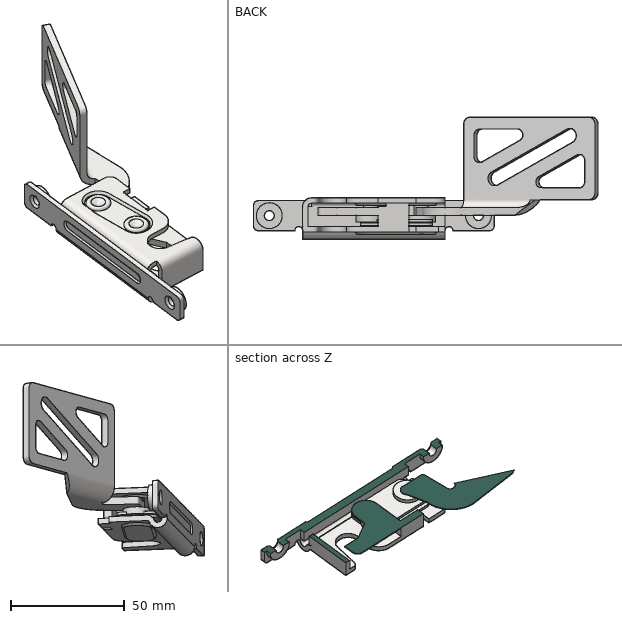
import cadquery as cq
import math

SHEET = 2.5

STRIP_LEFT, STRIP_RIGHT = 45.7, 151.8
STRIP_BOTTOM, STRIP_TOP = 3.8, 17.2
STRIP_CORNER = 2.1
STRIP_MID_X = (STRIP_LEFT + STRIP_RIGHT) / 2
STRIP_MID_Z = (STRIP_BOTTOM + STRIP_TOP) / 2
SCREW_SPACING = 92.1
SCREW_DIA, SCREW_SINK_DIA = 4.2, 6.4
SCREW_BOSS_DIA, SCREW_BOSS_HEIGHT = 11.4, 2.5
BEAD_LENGTH, BEAD_WIDTH, BEAD_DEPTH = 52.2, 5.3, 0.8
RELIEF_DIA, RELIEF_TOP = 3.3, 5.6

HOUSING_WIDTH = 62.8
HOUSING_LEFT = STRIP_MID_X - HOUSING_WIDTH / 2
HOUSING_RIGHT = STRIP_MID_X + HOUSING_WIDTH / 2
HOUSING_BACK = 31.7
BASE_BOTTOM = 3.3
BASE_TOP = BASE_BOTTOM + SHEET
COVER_TOP = 18.4
COVER_UNDER = COVER_TOP - SHEET
HOOK_RADIUS = 4.2
HOOK_SWEEP = 70
COVER_BEND = 4.0
WEB_BOTTOM = BASE_TOP
COVER_FLANGE_FRONT = 8.0
HOUSING_LEFT_CORNER, HOUSING_MID_CORNER = 3.8, 6.8

OPENING_LEFT = 110.8
OPENING_RADIUS = 5.6
OPENING_Y = 18.5
FINGER_TIP_X, FINGER_TIP_Y, FINGER_CORNER = 123.4, 30.0, 1.8

NOTCH_LEFT, NOTCH_RIGHT, NOTCH_FRONT = 80.1, 96.8, 28.0
TAB_LEFT, TAB_STEP_X, TAB_STEP_DROP = 83.3, 93.3, 1.5
BASE_STEP_DEPTH, BASE_STEP_Y, BASE_STEP_ROUND = 3.0, 26.3, 0.8

RIVETS = [(77.9, 15.5), (100.2, 18.5)]
RIVET_DIA, RIVET_HEAD_DIA, RIVET_CONE_DIA = 6.4, 11.1, 6.4
RIVET_CONE_TOP, RIVET_CONE_DEPTH = 17.9, 1.5
DIMPLE_RADIUS, DIMPLE_DEPTH, DIMPLE_FRONT = 7.1, 1.0, 9.3
DIMPLE_SLOPE = 45
SPACER_DIA = 12.7

LEAF_LEFT, LEAF_RIGHT, LEAF_FRONT = 72.9, 104.7, 6.2
LEAF_BACKS = [25.8, 24.3]
LEAF_SHEET, LEAF_GAP, LEAF_CORNER = 1.2, 0.3, 3.0

PANEL_ANGLE = 25
PANEL_LENGTH = 63.7
PANEL_SHEET = 3.3
PANEL_BOTTOM, PANEL_TOP = 17.5, 53.9
PANEL_CORNER = 3.0
PANEL_FRONT_Y = 48.7
LEVER_BOTTOM = 10.6
LEVER_TOP = LEVER_BOTTOM + PANEL_SHEET
LEVER_BEND = PANEL_BOTTOM - LEVER_BOTTOM
LEVER_SHOULDER = (62.7, 41.7)
LEVER_SHOULDER_RADIUS = 14.4
LEVER_REAR_SLOPE = 0.1
LEVER_BEND_START = 28.1
LEVER_FRONT_Y, LEVER_FRONT_X, LEVER_FRONT_CORNER = 12.5, 65.9, 1.0
LEVER_NOTCH_X, LEVER_NOTCH_Y, LEVER_NOTCH_RADIUS = 62.5, 26.4, 1.8

SLOT_START, SLOT_END, SLOT_WIDTH = (12.3, 45.7), (48.7, 26.9), 6.4
WINDOW_MARGIN_SIDE, WINDOW_MARGIN_END = 5.3, 5.0
WINDOW_LENGTH, WINDOW_CORNER = 31.7, 2.6

PAWL_RIGHT, PAWL_FRONT, PAWL_CORNER = 123.2, 23.4, 3.0
PAWL_NOSE_X = 115.0
PAWL_FOOT = 6.2


def box(x0, x1, y0, y1, z0, z1):
    return cq.Workplane("XY").box(x1 - x0, y1 - y0, z1 - z0, centered=False).translate((x0, y0, z0))


def polar(center, radius, degrees):
    angle = math.radians(degrees)
    return (center[0] + radius * math.cos(angle), center[1] + radius * math.sin(angle))


def flat_plate(outline, bottom, top):
    """Close an outline drawn on XY and raise it between two heights."""
    return outline.close().extrude(top - bottom).translate((0, 0, bottom))


def on_front(x, z):
    """XZ workplane on the strip's front face; positive extrusion runs to -Y."""
    return cq.Workplane("XZ").center(x, z)


def mounting_strip():
    strip = box(STRIP_LEFT, STRIP_RIGHT, 0, SHEET, STRIP_BOTTOM, STRIP_TOP)
    strip = strip.edges("|Y").fillet(STRIP_CORNER)

    for side in (-1, 1):
        screw_x = STRIP_MID_X + side * SCREW_SPACING / 2
        boss_back = SHEET + SCREW_BOSS_HEIGHT
        strip = strip.union(on_front(screw_x, STRIP_MID_Z).circle(SCREW_BOSS_DIA / 2).extrude(-boss_back))
        strip = strip.cut(on_front(screw_x, STRIP_MID_Z).circle(SCREW_DIA / 2).extrude(-boss_back))
        sink_depth = (SCREW_SINK_DIA - SCREW_DIA) / 2
        sink = on_front(screw_x, STRIP_MID_Z).circle(SCREW_SINK_DIA / 2).extrude(-sink_depth, taper=45)
        strip = strip.cut(sink)

        relief_x = STRIP_MID_X + side * (HOUSING_WIDTH + RELIEF_DIA) / 2
        relief = on_front(relief_x, RELIEF_TOP - RELIEF_DIA / 2)
        relief = relief.slot2D(2 * RELIEF_DIA, RELIEF_DIA, 90).extrude(-SHEET)
        strip = strip.cut(relief.translate((0, 0, -RELIEF_DIA / 2)))

    bead = on_front(STRIP_MID_X, STRIP_MID_Z).slot2D(BEAD_LENGTH, BEAD_WIDTH)
    return strip.cut(bead.extrude(-BEAD_DEPTH, taper=45))


def housing_outline(front, right):
    """Plan of base and cover: a block, the open notch, and the finger at the right."""
    notch_center = (OPENING_LEFT + OPENING_RADIUS, OPENING_Y)
    block_corner = (OPENING_LEFT - HOUSING_MID_CORNER, HOUSING_BACK - HOUSING_MID_CORNER)
    left_corner = (HOUSING_LEFT + HOUSING_LEFT_CORNER, HOUSING_BACK - HOUSING_LEFT_CORNER)
    tip_corner = (FINGER_TIP_X + FINGER_CORNER, HOUSING_BACK - FINGER_CORNER)
    return (
        cq.Workplane("XY")
        .moveTo(HOUSING_LEFT, front)
        .lineTo(HOUSING_LEFT, left_corner[1])
        .threePointArc(polar(left_corner, HOUSING_LEFT_CORNER, 135), (left_corner[0], HOUSING_BACK))
        .lineTo(NOTCH_LEFT, HOUSING_BACK)
        .lineTo(NOTCH_LEFT, NOTCH_FRONT)
        .lineTo(NOTCH_RIGHT, NOTCH_FRONT)
        .lineTo(NOTCH_RIGHT, HOUSING_BACK)
        .lineTo(block_corner[0], HOUSING_BACK)
        .threePointArc(polar(block_corner, HOUSING_MID_CORNER, 45), (OPENING_LEFT, block_corner[1]))
        .lineTo(OPENING_LEFT, OPENING_Y)
        .threePointArc(polar(notch_center, OPENING_RADIUS, 270), polar(notch_center, OPENING_RADIUS, 0))
        .lineTo(FINGER_TIP_X, FINGER_TIP_Y)
        .threePointArc(polar(tip_corner, FINGER_CORNER, 135), (tip_corner[0], HOUSING_BACK))
        .lineTo(right, HOUSING_BACK)
        .lineTo(right, front)
    )


def dimple():
    """Tapered pad around both rivets, widest on Z = 0 and narrowing upward."""
    (x0, y0), (x1, y1) = RIVETS
    spacing = math.hypot(x1 - x0, y1 - y0)
    tilt = math.degrees(math.atan2(y1 - y0, x1 - x0))
    width = 2 * DIMPLE_RADIUS
    pad = cq.Workplane("XY").center((x0 + x1) / 2, (y0 + y1) / 2).slot2D(spacing + width, width, tilt)
    pad = pad.extrude(DIMPLE_DEPTH, taper=DIMPLE_SLOPE)
    return pad.intersect(box(HOUSING_LEFT, HOUSING_RIGHT, DIMPLE_FRONT, HOUSING_BACK, 0, DIMPLE_DEPTH))


def flipped(pad):
    return pad.mirror("XY")


def base():
    """Base sheet and the hook that rolls under the strip."""
    mid_radius = HOOK_RADIUS - SHEET / 2
    center = (HOOK_RADIUS, HOOK_RADIUS)
    hook_end = polar(center, mid_radius, HOOK_SWEEP - 90)
    rise = BASE_BOTTOM + SHEET / 2 - hook_end[1]
    sweep = math.radians(HOOK_SWEEP)
    return_radius = rise / (1 - math.cos(sweep))
    plate_front = hook_end[0] + return_radius * math.sin(sweep)
    return_center = (plate_front, BASE_BOTTOM + SHEET / 2 - return_radius)
    inner, outer = HOOK_RADIUS - SHEET, HOOK_RADIUS
    under, over = return_radius - SHEET / 2, return_radius + SHEET / 2
    turn, mid_turn = HOOK_SWEEP - 90, HOOK_SWEEP / 2 - 90
    hook = (
        cq.Workplane("YZ")
        .moveTo(0, HOOK_RADIUS)
        .threePointArc(polar(center, outer, 225), polar(center, outer, 270))
        .threePointArc(polar(center, outer, mid_turn), polar(center, outer, turn))
        .threePointArc(polar(return_center, under, 90 + HOOK_SWEEP / 2), polar(return_center, under, 90))
        .lineTo(plate_front, BASE_TOP)
        .threePointArc(polar(return_center, over, 90 + HOOK_SWEEP / 2), polar(center, inner, turn))
        .threePointArc(polar(center, inner, mid_turn), polar(center, inner, 270))
        .threePointArc(polar(center, inner, 225), polar(center, inner, 180))
        .close()
        .extrude(HOUSING_WIDTH)
        .translate((HOUSING_LEFT, 0, 0))
    )
    plate = flat_plate(housing_outline(plate_front, HOUSING_RIGHT), BASE_BOTTOM, BASE_TOP)
    step_x = HOUSING_LEFT + BASE_STEP_DEPTH
    step = box(HOUSING_LEFT, step_x, BASE_STEP_Y, HOUSING_BACK, BASE_BOTTOM, BASE_TOP)
    plate = plate.cut(step.edges("|Z and >X and <Y").fillet(BASE_STEP_ROUND))
    tab = box(TAB_LEFT, TAB_STEP_X, NOTCH_FRONT, HOUSING_BACK, BASE_BOTTOM, COVER_UNDER)
    tab = tab.union(
        box(TAB_STEP_X, NOTCH_RIGHT, NOTCH_FRONT, HOUSING_BACK, BASE_BOTTOM, COVER_UNDER - TAB_STEP_DROP)
    )
    bulge = flipped(dimple()).translate((0, 0, BASE_BOTTOM))
    return hook.union(plate).union(tab).union(bulge)


def bent_edge(plane):
    """Quarter bend and downward leg; the leg's outer face is on the local origin."""
    center = (COVER_BEND, COVER_TOP - COVER_BEND)
    inner = COVER_BEND - SHEET
    return (
        cq.Workplane(plane)
        .moveTo(0, WEB_BOTTOM)
        .lineTo(0, center[1])
        .threePointArc(polar(center, COVER_BEND, 135), (COVER_BEND, COVER_TOP))
        .lineTo(COVER_BEND, COVER_UNDER)
        .threePointArc(polar(center, inner, 135), (SHEET, center[1]))
        .lineTo(SHEET, WEB_BOTTOM)
        .close()
    )


def cover():
    """Cover sheet with a front web behind the strip and a flange at the right end."""
    plate_front = SHEET + COVER_BEND
    plate_right = HOUSING_RIGHT - COVER_BEND
    plate = flat_plate(housing_outline(plate_front, plate_right), COVER_UNDER, COVER_TOP)
    front_bend = bent_edge("YZ").extrude(plate_right - HOUSING_LEFT).translate((HOUSING_LEFT, SHEET, 0))
    web = box(plate_right, HOUSING_RIGHT, SHEET, 2 * SHEET, WEB_BOTTOM, COVER_TOP - COVER_BEND)
    flange_length = HOUSING_BACK - COVER_FLANGE_FRONT
    flange = bent_edge("XZ").extrude(flange_length).mirror("YZ")
    flange = flange.translate((HOUSING_RIGHT, HOUSING_BACK, 0))
    backing = flipped(dimple()).translate((0, 0, COVER_UNDER))
    sheet = plate.union(front_bend).union(web).union(flange).union(backing)
    return sheet.cut(flipped(dimple()).translate((0, 0, COVER_TOP)))


def rivet(x, y):
    """Pin through the housing with a spacer under the lever and a round-rimmed head."""
    floor = COVER_TOP - DIMPLE_DEPTH
    rim, cone = RIVET_HEAD_DIA / 2, RIVET_CONE_DIA / 2
    pin = cq.Workplane("XY").circle(RIVET_DIA / 2).extrude(floor - BASE_TOP).translate((0, 0, BASE_TOP))
    spacer = cq.Workplane("XY").circle(SPACER_DIA / 2).extrude(LEVER_BOTTOM - leaf_bottom(1))
    head = (
        cq.Workplane("XZ")
        .moveTo(0, COVER_UNDER)
        .lineTo(rim, COVER_UNDER)
        .lineTo(rim, floor)
        .threePointArc(((rim + cone) / 2, COVER_TOP), (cone, RIVET_CONE_TOP))
        .lineTo(0, RIVET_CONE_TOP)
        .close()
        .revolve(360, (0, 0), (0, 1))
    )
    return pin.union(spacer.translate((0, 0, leaf_bottom(1)))).union(head).translate((x, y, 0))


def rivet_cone(x, y):
    """Conical hollow in a rivet head, pointing down."""
    tip = cq.Vector(x, y, RIVET_CONE_TOP - RIVET_CONE_DEPTH)
    return cq.Workplane(cq.Solid.makeCone(0, RIVET_CONE_DIA / 2, RIVET_CONE_DEPTH, tip))


def leaf_bottom(layer):
    return BASE_TOP + LEAF_GAP + layer * (LEAF_SHEET + LEAF_GAP)


def leaf(layer):
    bottom = leaf_bottom(layer)
    plate = box(LEAF_LEFT, LEAF_RIGHT, LEAF_FRONT, LEAF_BACKS[layer], bottom, bottom + LEAF_SHEET)
    return plate.edges("|Z").fillet(LEAF_CORNER)


def along_panel(u, v):
    """Plan position of a point u along the panel and v behind its front face."""
    turn = math.radians(-PANEL_ANGLE)
    return (u * math.cos(turn) - v * math.sin(turn), PANEL_FRONT_Y + u * math.sin(turn) + v * math.cos(turn))


def place_on_panel(body):
    return body.rotate((0, 0, 0), (0, 0, 1), -PANEL_ANGLE).translate((0, PANEL_FRONT_Y, 0))


def panel():
    height = PANEL_TOP - PANEL_BOTTOM
    plate = box(0, PANEL_LENGTH, 0, PANEL_SHEET, PANEL_BOTTOM, PANEL_TOP)
    plate = plate.edges("|Y and >Z").fillet(PANEL_CORNER)
    plate = plate.edges("|Y and <X and <Z").fillet(PANEL_CORNER)

    run, drop = SLOT_END[0] - SLOT_START[0], SLOT_START[1] - SLOT_END[1]
    slot = (
        cq.Workplane("XZ")
        .center(SLOT_START[0] + run / 2, SLOT_START[1] - drop / 2)
        .slot2D(math.hypot(run, drop) + SLOT_WIDTH, SLOT_WIDTH, -math.degrees(math.atan2(drop, run)))
        .extrude(-PANEL_SHEET)
    )

    right = PANEL_LENGTH - WINDOW_MARGIN_END
    top = PANEL_TOP - WINDOW_MARGIN_SIDE
    corners = [(right, top), (right - WINDOW_LENGTH, top), (right, top - WINDOW_LENGTH * drop / run)]
    window = cq.Workplane("XZ").polyline(corners).close().extrude(-PANEL_SHEET)
    window = window.edges("|Y").fillet(WINDOW_CORNER)
    middle = (PANEL_LENGTH / 2, PANEL_BOTTOM + height / 2)
    turned = window.rotate((middle[0], 0, middle[1]), (middle[0], 1, middle[1]), 180)
    return place_on_panel(plate.cut(slot).cut(window).cut(turned))


def lever_rear_y(x):
    return LEVER_SHOULDER[1] + LEVER_REAR_SLOPE * (x - LEVER_SHOULDER[0])


def lever_rear_x(v):
    """X where the lever's rear edge crosses the line v behind the panel's front face."""
    x0, y0 = along_panel(0, v)
    slope = -math.tan(math.radians(PANEL_ANGLE))
    return (y0 - slope * x0 - lever_rear_y(0)) / (LEVER_REAR_SLOPE - slope)


def lever_bend():
    """Quarter bend from the panel's lower edge, trimmed along the lever's rear edge."""
    center = (LEVER_BEND, PANEL_BOTTOM)
    inner = LEVER_BEND - PANEL_SHEET
    bend = (
        cq.Workplane("YZ")
        .moveTo(0, PANEL_BOTTOM)
        .threePointArc(polar(center, LEVER_BEND, 225), (LEVER_BEND, LEVER_BOTTOM))
        .lineTo(LEVER_BEND, LEVER_TOP)
        .threePointArc(polar(center, inner, 225), (PANEL_SHEET, PANEL_BOTTOM))
        .close()
        .extrude(PANEL_LENGTH)
    )
    start, end = lever_rear_x(0), lever_rear_x(LEVER_BEND)
    turn = math.radians(PANEL_ANGLE)
    end_along = (end - LEVER_BEND * math.sin(turn)) / math.cos(turn)
    slant = cq.Plane(origin=(0, 0, PANEL_BOTTOM), xDir=(1, 0, 0), normal=(0, 1, 1))
    chord = LEVER_BEND * math.sqrt(2)
    trim = (
        cq.Workplane(slant)
        .polyline([(LEVER_BEND_START, 0), (end_along, chord), (PANEL_LENGTH, chord), (PANEL_LENGTH, 0)])
        .close()
        .extrude(LEVER_BEND, both=True)
    )
    bend = bend.intersect(trim)
    keep = cq.Workplane("XY").polyline([
        (start, lever_rear_y(start)),
        (end, lever_rear_y(end)),
        along_panel(PANEL_LENGTH, LEVER_BEND),
        along_panel(PANEL_LENGTH, 0),
    ])
    return place_on_panel(bend).intersect(flat_plate(keep, LEVER_BOTTOM, PANEL_BOTTOM))


def lever():
    """Flat lever from the bend round the shoulder to the first rivet."""
    hub = RIVETS[0]
    hub_radius = hub[1] - LEVER_FRONT_Y
    shoulder = (LEVER_SHOULDER[0], LEVER_SHOULDER[1] - LEVER_SHOULDER_RADIUS)
    notch = (LEVER_NOTCH_X, LEVER_NOTCH_Y)
    rear_x = lever_rear_x(LEVER_BEND)
    outline = (
        cq.Workplane("XY")
        .moveTo(rear_x, lever_rear_y(rear_x))
        .lineTo(*LEVER_SHOULDER)
        .threePointArc(polar(shoulder, LEVER_SHOULDER_RADIUS, 45), polar(shoulder, LEVER_SHOULDER_RADIUS, 0))
        .lineTo(*polar(hub, hub_radius, 0))
        .threePointArc(polar(hub, hub_radius, -45), polar(hub, hub_radius, -90))
        .lineTo(LEVER_FRONT_X, LEVER_FRONT_Y)
        .lineTo(*polar(notch, LEVER_NOTCH_RADIUS, 0))
        .threePointArc(polar(notch, LEVER_NOTCH_RADIUS, 45), polar(notch, LEVER_NOTCH_RADIUS, 90))
        .lineTo(*along_panel(PANEL_LENGTH, LEVER_BEND))
    )
    plate = flat_plate(outline, LEVER_BOTTOM, LEVER_TOP)
    front_corner = cq.selectors.NearestToPointSelector((LEVER_FRONT_X, LEVER_FRONT_Y, LEVER_BOTTOM))
    return plate.edges("|Z").edges(front_corner).fillet(LEVER_FRONT_CORNER)


def pawl():
    """Plate on the second rivet, level with the lever, reaching across the opening."""
    hub = RIVETS[1]
    foot_radius = SPACER_DIA / 2
    foot = (hub[0], PAWL_FOOT + foot_radius)
    corner = (PAWL_RIGHT - PAWL_CORNER, HOUSING_BACK - PAWL_CORNER)
    outline = (
        cq.Workplane("XY")
        .moveTo(*polar(foot, foot_radius, 180))
        .lineTo(foot[0] - foot_radius, HOUSING_BACK)
        .lineTo(corner[0], HOUSING_BACK)
        .threePointArc(polar(corner, PAWL_CORNER, 45), (PAWL_RIGHT, corner[1]))
        .lineTo(PAWL_RIGHT, PAWL_FRONT)
        .lineTo(PAWL_NOSE_X, PAWL_FRONT)
        .lineTo(*polar(hub, foot_radius, 0))
        .lineTo(*polar(foot, foot_radius, 0))
        .threePointArc(polar(foot, foot_radius, -90), polar(foot, foot_radius, 180))
    )
    return flat_plate(outline, LEVER_BOTTOM, LEVER_TOP)


result = mounting_strip().union(base()).union(cover())
for leaf_layer in range(len(LEAF_BACKS)):
    result = result.union(leaf(leaf_layer))
for rivet_x, rivet_y in RIVETS:
    result = result.union(rivet(rivet_x, rivet_y)).cut(rivet_cone(rivet_x, rivet_y))
result = result.union(pawl()).union(lever()).union(lever_bend()).union(panel())